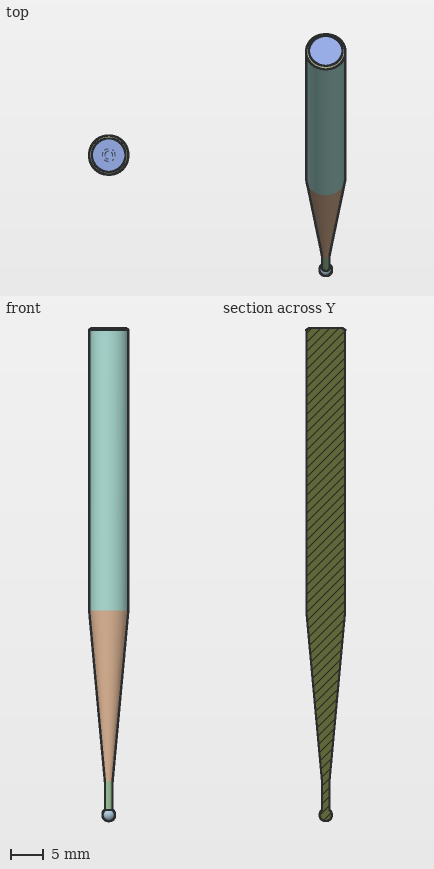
import cadquery as cq
import math

total_length = 75.0
shank_radius = 3.0
taper_top = 32.0
neck_top = 6.0
neck_radius = 0.6
ball_radius = 1.0
chamfer_width = 0.45
chamfer_height = 0.3

ball_neck_joint = ball_radius + math.sqrt(ball_radius**2 - neck_radius**2)

half_profile = (
    cq.Workplane("XZ")
    .moveTo(0, 0)
    .threePointArc((ball_radius, ball_radius), (neck_radius, ball_neck_joint))
    .lineTo(neck_radius, neck_top)
    .lineTo(shank_radius, taper_top)
    .lineTo(shank_radius, total_length - chamfer_height)
    .lineTo(shank_radius - chamfer_width, total_length)
    .lineTo(0, total_length)
    .close()
)

result = half_profile.revolve(360, (0, 0, 0), (0, 1, 0))